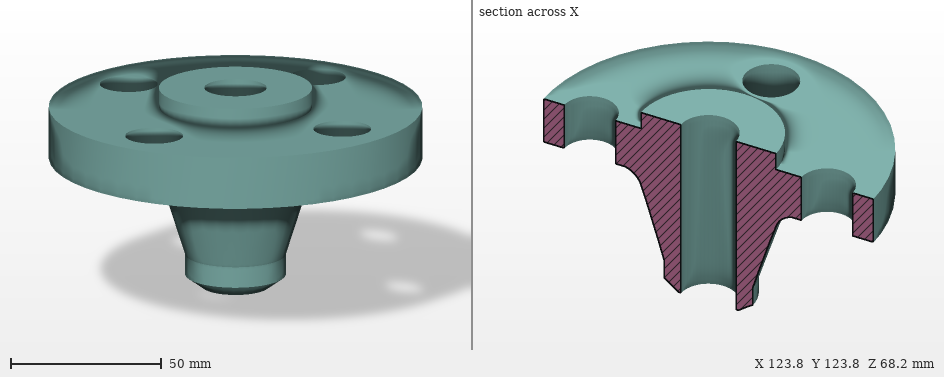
import cadquery as cq

flange_diameter = 123.8
total_height = 68.2

bevel_height = 4.1
neck_height = 7.0
flange_thickness = 17.6
raised_face_height = 6.5
hub_height = total_height - bevel_height - neck_height - flange_thickness - raised_face_height

bevel_end_diameter = 22.3
neck_diameter = 33.4
hub_top_diameter = 50.8
raised_face_diameter = 50.8
bore_diameter = 20.7

blend_radius = 8.0
blend_height = 5.6
blend_top_diameter = 62.7

bolt_count = 4
bolt_hole_diameter = 19.2
bolt_circle_diameter = 88.9

bevel_top = bevel_height
neck_top = bevel_top + neck_height
flange_bottom = neck_top + hub_height
flange_top = flange_bottom + flange_thickness


def make_body():
    """Revolve the solid half-section about Z."""
    half_section = (
        cq.Workplane("XZ")
        .moveTo(0, 0)
        .lineTo(bevel_end_diameter / 2, 0)
        .lineTo(neck_diameter / 2, bevel_top)
        .lineTo(neck_diameter / 2, neck_top)
        .lineTo(hub_top_diameter / 2, flange_bottom - blend_height)
        .radiusArc((blend_top_diameter / 2, flange_bottom), blend_radius)
        .lineTo(flange_diameter / 2, flange_bottom)
        .lineTo(flange_diameter / 2, flange_top)
        .lineTo(raised_face_diameter / 2, flange_top)
        .lineTo(raised_face_diameter / 2, total_height)
        .lineTo(0, total_height)
        .close()
    )
    return half_section.revolve(360, (0, 0, 0), (0, 1, 0))


def make_bore():
    """Cylinder running through the full height."""
    return cq.Workplane("XY").circle(bore_diameter / 2).extrude(total_height)


def make_bolt_holes():
    """Cylinders through the flange, evenly spaced on the bolt circle."""
    return (
        cq.Workplane("XY")
        .workplane(offset=flange_bottom)
        .polarArray(bolt_circle_diameter / 2, 0, 360, bolt_count)
        .circle(bolt_hole_diameter / 2)
        .extrude(flange_thickness)
    )


result = make_body().cut(make_bore()).cut(make_bolt_holes())